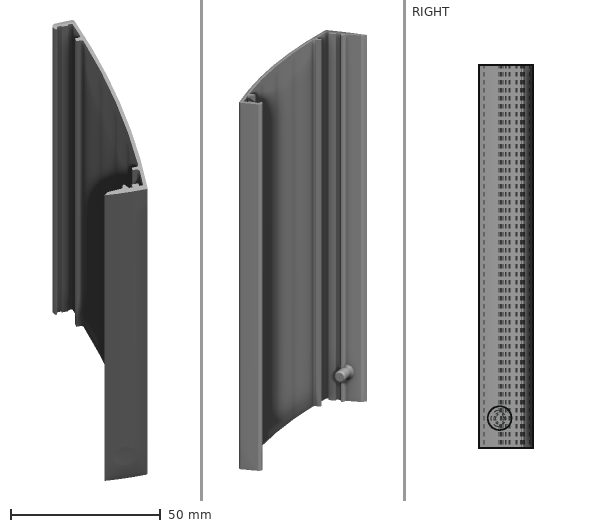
import cadquery as cq
import math

width = 88.3
depth = 18.0
height = 128.0
half_width = width / 2

panel_thickness = 1.3
crown_drop = 3.2
crown_radius = (half_width**2 + crown_drop**2) / (2 * crown_drop)
corner_fillet = 0.8
shoulder_y = -crown_drop - corner_fillet
wall_bow_radius = 110.1

rib_bottom_y = -5.4
rib_embed = 0.5
left_rib_x = -34.3
left_rib_width = 1.5
right_rib_x = 33.2
right_rib_width = 1.3
rib_flare = 0.5
right_rib_outer_flare = 0.9

left_inner_x = -42.4
left_outer_end_y = -10.0
left_tip_y = -10.9
left_toe_radius = 1.3
left_tip_x = -42.4
left_pad_x = -41.9
left_pad_top_y = -5.8
left_pad_bottom_y = -8.0
left_hook_x = -41.0
left_hook_top_y = -9.3
left_hook_tip_y = -10.1
left_hook_base_x = -41.6
left_hook_base_y = -10.6

right_inner_x = 42.0
right_inner_end_y = -16.5
right_pad_x = 40.6
right_pad_top_y = -5.5
right_pad_bottom_y = -7.8
lip_x = 40.0
lip_top_y = -9.1
lip_tip_top_y = -10.1
lip_tip_bottom_y = -10.6
lip_root_x = 41.6
lip_bottom_y = -11.4

pin_diameter = 4.0
head_diameter = 8.0
pin_y = -11.1
pin_z = 10.0
pin_end_x = 35.6
pin_chamfer = 0.5
head_start_x = 40.8


def panel_y(x, radius):
    """Y of an arc about the panel's centre of curvature, at position x."""
    return math.sqrt(radius**2 - x**2) - crown_radius


def wall_x(y):
    """Distance of the bowed outside wall of a flange from mid-width at position y."""
    return half_width - wall_bow_radius + math.sqrt(wall_bow_radius**2 - (y - shoulder_y) ** 2)


def make_rib(center_x, rib_width, minus_flare, plus_flare):
    """Rib whose root flares out by the given amounts towards -X and +X."""
    left_x = center_x - rib_width / 2
    right_x = center_x + rib_width / 2
    inner_radius = crown_radius - panel_thickness
    flare_left_x = left_x - minus_flare
    flare_right_x = right_x + plus_flare
    flare_left_y = panel_y(flare_left_x, inner_radius)
    flare_right_y = panel_y(flare_right_x, inner_radius)
    embedded_y = panel_y(center_x, inner_radius) + rib_embed
    outline = [
        (left_x, rib_bottom_y),
        (right_x, rib_bottom_y),
        (right_x, flare_right_y - rib_flare),
        (flare_right_x, flare_right_y),
        (center_x, embedded_y),
        (flare_left_x, flare_left_y),
        (left_x, flare_left_y - rib_flare),
    ]
    return cq.Workplane("XY").polyline(outline).close().extrude(height)


def make_profile():
    inner_radius = crown_radius - panel_thickness
    outline = (
        cq.Workplane("XY")
        .moveTo(-half_width, -crown_drop)
        .threePointArc((0, 0), (half_width, -crown_drop))
        .lineTo(half_width, shoulder_y)
        .radiusArc((wall_x(-depth), -depth), wall_bow_radius)
        .lineTo(right_inner_x, right_inner_end_y)
        .lineTo(lip_root_x, lip_bottom_y)
        .lineTo(lip_x, lip_tip_bottom_y)
        .lineTo(lip_x, lip_tip_top_y)
        .lineTo(right_inner_x, lip_top_y)
        .lineTo(right_inner_x, right_pad_bottom_y)
        .lineTo(right_pad_x, right_pad_bottom_y)
        .lineTo(right_pad_x, right_pad_top_y)
        .lineTo(right_inner_x, right_pad_top_y)
        .lineTo(right_inner_x, panel_y(right_inner_x, inner_radius))
        .threePointArc((0, -panel_thickness), (left_inner_x, panel_y(left_inner_x, inner_radius)))
        .lineTo(left_inner_x, left_pad_top_y)
        .lineTo(left_pad_x, left_pad_top_y)
        .lineTo(left_pad_x, left_pad_bottom_y)
        .lineTo(left_inner_x, left_pad_bottom_y)
        .lineTo(left_inner_x, left_hook_top_y)
        .lineTo(left_hook_x, left_hook_tip_y)
        .lineTo(left_hook_base_x, left_hook_base_y)
        .lineTo(left_tip_x, left_tip_y)
        .radiusArc((-wall_x(left_outer_end_y), left_outer_end_y), left_toe_radius)
        .radiusArc((-half_width, shoulder_y), wall_bow_radius)
        .lineTo(-half_width, -crown_drop)
        .close()
    )
    outer_corners = cq.selectors.BoxSelector(
        (-width, -crown_drop - corner_fillet / 2, 0),
        (width, -crown_drop + corner_fillet / 2, height),
    )
    profile = outline.extrude(height).edges("|Z").edges(outer_corners).fillet(corner_fillet)
    left_rib = make_rib(left_rib_x, left_rib_width, rib_flare, rib_flare)
    right_rib = make_rib(right_rib_x, right_rib_width, rib_flare, right_rib_outer_flare)
    return profile.union(left_rib).union(right_rib)


def make_pin():
    """Pin with a 90-degree countersunk head that is trimmed flush with the wall."""
    radius = pin_diameter / 2
    head_radius = head_diameter / 2
    cone_end_x = head_start_x + head_radius - radius
    return (
        cq.Workplane("XY", origin=(0, pin_y, pin_z))
        .moveTo(pin_end_x, 0)
        .lineTo(pin_end_x, radius - pin_chamfer)
        .lineTo(pin_end_x + pin_chamfer, radius)
        .lineTo(head_start_x, radius)
        .lineTo(cone_end_x, head_radius)
        .lineTo(half_width, head_radius)
        .lineTo(half_width, 0)
        .close()
        .revolve(360, (0, 0, 0), (1, 0, 0))
        .cut(make_outside_trim())
    )


def make_outside_trim():
    """Space outside the bowed right wall, used to make the pin head flush."""
    return (
        cq.Workplane("XY")
        .moveTo(half_width, shoulder_y)
        .radiusArc((wall_x(-depth), -depth), wall_bow_radius)
        .lineTo(width, -depth)
        .lineTo(width, shoulder_y)
        .close()
        .extrude(height)
    )


pin = make_pin()
profile = make_profile().cut(pin)

result = cq.Compound.makeCompound([profile.solids().val(), pin.solids().val()])